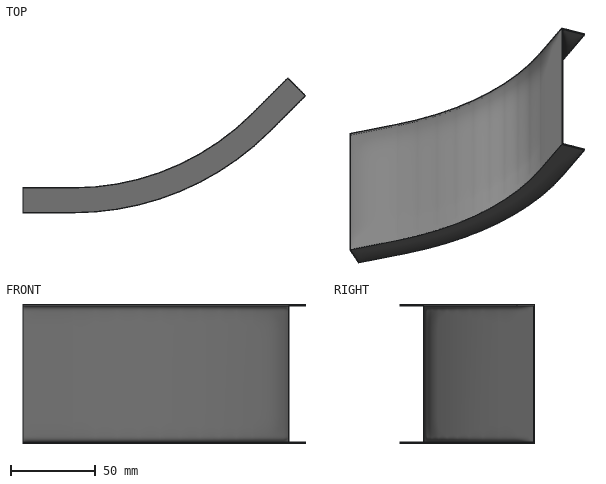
import cadquery as cq
import math

height = 82.0
sheet_thickness = 0.8
flange_width = 14.805
web_face_radius = 150.0
straight_length = 29.79
bend_angle = 45.0

web_back_radius = web_face_radius - sheet_thickness
bend_radians = math.radians(bend_angle)

bend_start_x = straight_length
bend_center_y = flange_width + web_back_radius


def bend_point(radius, angle):
    """Point on the bend at a radius, swept by an angle from the bend's start."""
    return (
        bend_start_x + radius * math.sin(angle),
        bend_center_y - radius * math.cos(angle),
    )


def end_point(radius):
    """Point at the far end of the second straight run, on the line tangent to the radius."""
    x, y = bend_point(radius, bend_radians)
    return (
        x + straight_length * math.cos(bend_radians),
        y + straight_length * math.sin(bend_radians),
    )


def curved_strip(width, strip_height, base_z):
    """Straight-bend-straight strip of a given width, measured from the back of the web."""
    inner = web_back_radius
    outer = web_back_radius + width
    half_angle = bend_radians / 2
    return (
        cq.Workplane("XY", origin=(0, 0, base_z))
        .moveTo(0, bend_center_y - outer)
        .lineTo(*bend_point(outer, 0))
        .threePointArc(bend_point(outer, half_angle), bend_point(outer, bend_radians))
        .lineTo(*end_point(outer))
        .lineTo(*end_point(inner))
        .lineTo(*bend_point(inner, bend_radians))
        .threePointArc(bend_point(inner, half_angle), bend_point(inner, 0))
        .lineTo(0, bend_center_y - inner)
        .close()
        .extrude(strip_height)
    )


web = curved_strip(sheet_thickness, height, 0)
bottom_flange = curved_strip(flange_width, sheet_thickness, 0)
top_flange = curved_strip(flange_width, sheet_thickness, height - sheet_thickness)

result = web.union(bottom_flange).union(top_flange)